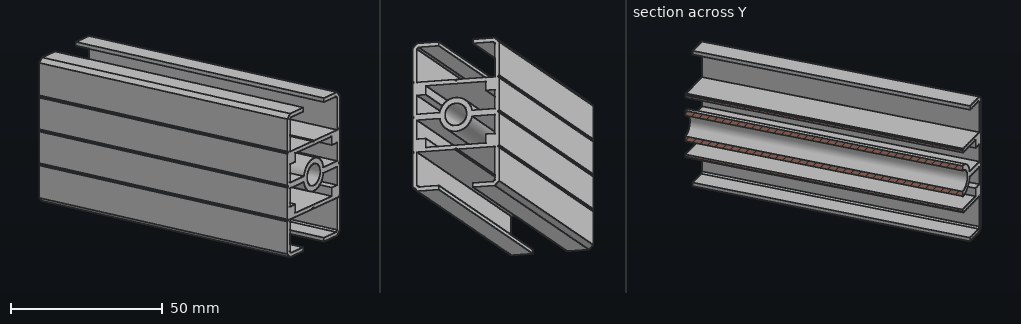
import cadquery as cq

length = 100.0
width = 30.0
height = 50.0

side_wall = 1.5
lip_thickness = 1.4
outer_chamfer = 1.5
inner_chamfer = 0.6
slot_opening = 11.8

web_outer = 11.8
web_thickness = 1.4
web_inner = web_outer - web_thickness
middle_web = 2.0

chamber_step_width = 20.8
chamber_step_height = 14.8

tube_diameter = 11.4
bore_diameter = 7.5

groove_width = 0.8
groove_depth = 0.4

cavity_width = width - 2 * side_wall
start_x = -length / 2


def bar(size_y, size_z, center_z=0):
    """Full-length rectangular bar centred on Y."""
    return cq.Workplane("XY").box(length, size_y, size_z).translate((0, 0, center_z))


def rod(diameter):
    """Full-length round bar on the X axis."""
    return cq.Workplane("YZ", origin=(start_x, 0, 0)).circle(diameter / 2).extrude(length)


def v_groove(y, z, inward_y, inward_z):
    """V cutter whose mouth is centred at (y, z), pointing along the inward direction."""
    half = groove_width / 2
    points = [
        (y - inward_z * half, z + inward_y * half),
        (y + inward_y * groove_depth, z + inward_z * groove_depth),
        (y + inward_z * half, z - inward_y * half),
    ]
    return cq.Workplane("YZ", origin=(start_x, 0, 0)).polyline(points).close().extrude(length)


body = bar(width, height).edges("|X").chamfer(outer_chamfer)

channel_height = height / 2 - lip_thickness - web_outer
channel_center = web_outer + channel_height / 2
for side in (1, -1):
    channel = bar(cavity_width, channel_height, side * channel_center)
    lip_face = ">Z" if side > 0 else "<Z"
    channel = channel.faces(lip_face).edges("|X").chamfer(inner_chamfer)
    opening = bar(slot_opening, height / 2 - web_outer, side * (height / 2 + web_outer) / 2)
    body = body.cut(channel).cut(opening)

chamber = bar(cavity_width, chamber_step_height).union(bar(chamber_step_width, 2 * web_inner))
body = body.cut(chamber)

body = body.union(bar(cavity_width, middle_web)).union(rod(tube_diameter)).cut(rod(bore_diameter))

for side in (1, -1):
    for z in (-web_outer, 0, web_outer):
        body = body.cut(v_groove(side * width / 2, z, -side, 0))
    body = body.cut(v_groove(0, side * web_outer, 0, -side))

result = body